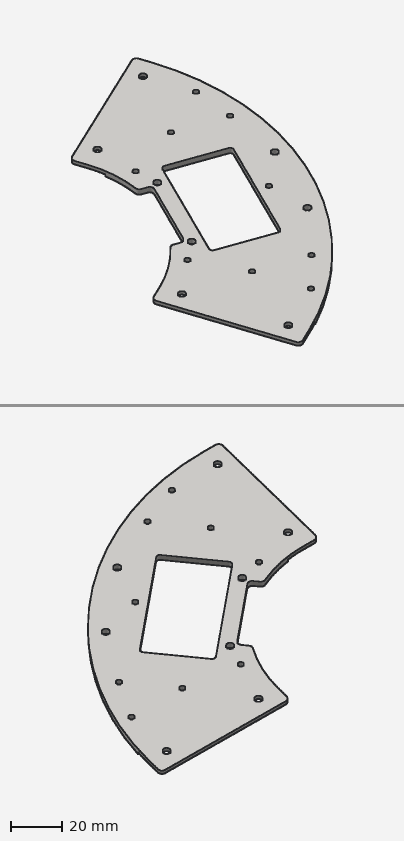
import cadquery as cq
import math

outer_size = 123.4
thickness = 3.0
lap_depth = 1.0
lap_width = 15.0
end_width = 63.0
corner_radius = 2.0

arc_center = lap_width / 2
outer_radius = outer_size - arc_center
inner_radius = outer_radius - end_width
inner_end = outer_size - end_width

window_inner = 74.0
window_width = 29.9
window_length = 51.5
window_radius = 1.5
notch_floor = 66.9
notch_width = 33.8

screw_diameter = 3.2
pin_diameter = 2.5
screw_points = [(arc_center, 114.9), (arc_center, 69.8), (36.3, 61.7), (71.6, 95.6)]
pin_points = [(30.0, 114.9), (47.5, 107.6), (30.0, 90.0), (26.0, 64.3)]
diagonal_pin = 77.0


def on_arc(radius):
    """Point where an arc of the ring crosses the diagonal."""
    offset = arc_center + radius * math.sqrt(0.5)
    return offset, offset


def diagonal_block(start, depth, width):
    """Full-height box spanning start to start + depth along the diagonal."""
    return (
        cq.Workplane("XY")
        .box(depth, width, thickness, centered=(False, True, False))
        .translate((start, 0, 0))
        .rotate((0, 0, 0), (0, 0, 1), 45)
    )


def with_twins(points):
    return points + [(y, x) for x, y in points]


def drill(body, points, diameter):
    tools = cq.Workplane("XY").pushPoints(points).circle(diameter / 2).extrude(thickness)
    return body.cut(tools)


plate = (
    cq.Workplane("XY")
    .moveTo(0, inner_end)
    .lineTo(0, outer_size)
    .lineTo(arc_center, outer_size)
    .threePointArc(on_arc(outer_radius), (outer_size, arc_center))
    .lineTo(outer_size, 0)
    .lineTo(inner_end, 0)
    .lineTo(inner_end, arc_center)
    .threePointArc(on_arc(inner_radius), (arc_center, inner_end))
    .close()
    .extrude(thickness)
)
plate = plate.cut(diagonal_block(0, notch_floor, notch_width))

tangent_joints = cq.selectors.BoxSelector(
    (arc_center - corner_radius, inner_end - corner_radius, 0),
    (arc_center + corner_radius, outer_size + corner_radius, thickness),
) + cq.selectors.BoxSelector(
    (inner_end - corner_radius, arc_center - corner_radius, 0),
    (outer_size + corner_radius, arc_center + corner_radius, thickness),
)
upright_edges = cq.selectors.ParallelDirSelector(cq.Vector(0, 0, 1))
plate = plate.edges(upright_edges - tangent_joints).fillet(corner_radius)

window = diagonal_block(window_inner, window_width, window_length)
plate = plate.cut(window.edges("|Z").fillet(window_radius))

for length_x, length_y in [(lap_width, outer_size), (outer_size, lap_width)]:
    plate = plate.cut(cq.Workplane("XY").box(length_x, length_y, lap_depth, centered=False))

plate = drill(plate, with_twins(screw_points), screw_diameter)
plate = drill(plate, with_twins(pin_points) + [(diagonal_pin, diagonal_pin)], pin_diameter)

result = plate